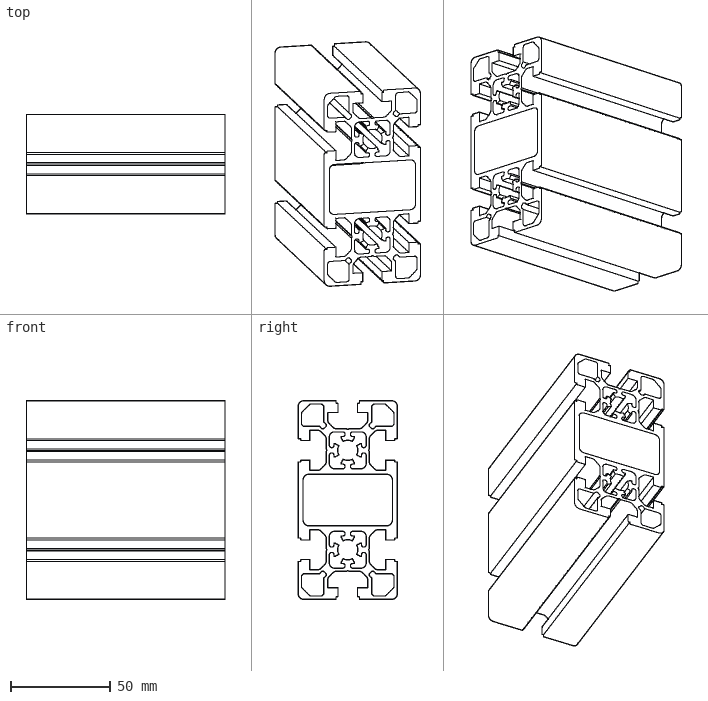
import cadquery as cq
import math

length = 100.0
module = 50.0
half = module / 2
module_centers = (-half, half)
corner_radius = 3.0

mouth_half = 4.9
step_half = 5.8
step_depth = 1.3
lip_radius = 0.4
lip_thickness = 6.0
slot_half = 10.0
slot_floor = 10.9
slot_chamfer = 3.3
groove_half = 0.7
groove_depth = 0.4
slot_blend = 2.0

core_half = 9.2
core_radius = 2.5
bore_radius = 5.0
tooth_angle = 28.0
tooth_half = 3.3
tooth_shoulder = 7.0
neck_half = 1.4
neck_radius = 1.0

pocket_inner = 12.1
pocket_outer = 23.2
pocket_chamfer = 4.2
pocket_radius = 1.4
relief_half = 1.5
relief_depth = 0.9
relief_radius = 1.0

chamber_half_width = 22.4
chamber_half_height = half - pocket_inner
chamber_radius = 2.8


def section_plane():
    """Workplane on the end face: local x is Y and local y is Z."""
    return cq.Workplane("YZ", origin=(-length / 2, 0, 0))


def turn(solid, angle):
    """Solid rotated about the X axis by an angle in degrees."""
    return solid.rotate((0, 0, 0), (1, 0, 0), angle)


def make_slot():
    """T-slot opening upward, measured from the module center."""
    step_floor = half - step_depth
    chamfer_ends = [(slot_half - slot_chamfer, slot_floor), (slot_half, slot_floor + slot_chamfer)]
    half_slot = (
        section_plane()
        .moveTo(0, slot_floor - groove_depth)
        .lineTo(groove_half, slot_floor)
        .lineTo(*chamfer_ends[0])
        .lineTo(*chamfer_ends[1])
        .lineTo(slot_half, half - lip_thickness)
        .lineTo(mouth_half, half - lip_thickness)
        .lineTo(mouth_half, step_floor - lip_radius)
        .radiusArc((mouth_half + lip_radius, step_floor), lip_radius)
        .lineTo(step_half, step_floor)
        .lineTo(step_half, half - lip_radius)
        .radiusArc((step_half + lip_radius, half), lip_radius)
        .lineTo(0, half)
        .close()
        .extrude(length)
    )
    for y, z in chamfer_ends:
        corner = cq.selectors.NearestToPointSelector((0, y, z))
        half_slot = half_slot.edges(corner).fillet(slot_blend)
    return half_slot.union(half_slot.mirror("XZ"))


def make_tooth():
    """Necked tooth hanging from the upper core wall; its flanks meet on the bore axis."""
    flank_end = tooth_half / math.tan(math.radians(tooth_angle))
    fillet_end = neck_half + neck_radius
    return (
        section_plane()
        .moveTo(0, 0)
        .lineTo(tooth_half, flank_end)
        .lineTo(tooth_half, tooth_shoulder)
        .lineTo(fillet_end, tooth_shoulder)
        .radiusArc((neck_half, tooth_shoulder + neck_radius), neck_radius)
        .lineTo(neck_half, core_half - neck_radius)
        .radiusArc((fillet_end, core_half), neck_radius)
        .lineTo(-fillet_end, core_half)
        .radiusArc((-neck_half, core_half - neck_radius), neck_radius)
        .lineTo(-neck_half, tooth_shoulder + neck_radius)
        .radiusArc((-fillet_end, tooth_shoulder), neck_radius)
        .lineTo(-tooth_half, tooth_shoulder)
        .lineTo(-tooth_half, flank_end)
        .close()
        .extrude(length)
    )


def make_core():
    """Square cavity less four teeth, with the round bore through their tips."""
    core = section_plane().rect(2 * core_half, 2 * core_half).extrude(length)
    core = core.edges("|X").fillet(core_radius)
    tooth = make_tooth()
    for angle in (0, 90, 180, 270):
        core = core.cut(turn(tooth, angle))
    return core.union(section_plane().circle(bore_radius).extrude(length))


def make_corner_pocket():
    """Pocket in the +Y +Z corner of a module, with a relief at its inner corner."""
    pocket = (
        section_plane()
        .moveTo(pocket_inner, pocket_inner)
        .lineTo(pocket_outer, pocket_inner)
        .lineTo(pocket_outer, pocket_outer - pocket_chamfer)
        .lineTo(pocket_outer - pocket_chamfer, pocket_outer)
        .lineTo(pocket_inner, pocket_outer)
        .close()
        .extrude(length)
        .edges("|X").fillet(pocket_radius)
    )
    relief_end = pocket_inner * math.sqrt(2) - relief_depth
    relief_length = relief_depth + 2 * relief_half
    relief = (
        section_plane()
        .center(0, relief_end + relief_length / 2)
        .rect(2 * relief_half, relief_length)
        .extrude(length)
        .edges("|X").fillet(relief_radius)
    )
    return pocket.union(turn(relief, -45))


def make_chamber():
    """Rounded rectangular chamber at the middle of the profile."""
    chamber = section_plane().rect(2 * chamber_half_width, 2 * chamber_half_height).extrude(length)
    return chamber.edges("|X").fillet(chamber_radius)


slot = make_slot()
core = make_core()
pocket = make_corner_pocket()

result = section_plane().rect(module, 2 * module).extrude(length)
result = result.edges("|X").fillet(corner_radius).cut(make_chamber())

for center_z in module_centers:
    flip = 0 if center_z > 0 else 180
    cutters = [core, pocket, pocket.mirror("XZ")]
    cutters += [turn(slot, angle) for angle in (-90, 0, 90)]
    for cutter in cutters:
        result = result.cut(turn(cutter, flip).translate((0, 0, center_z)))